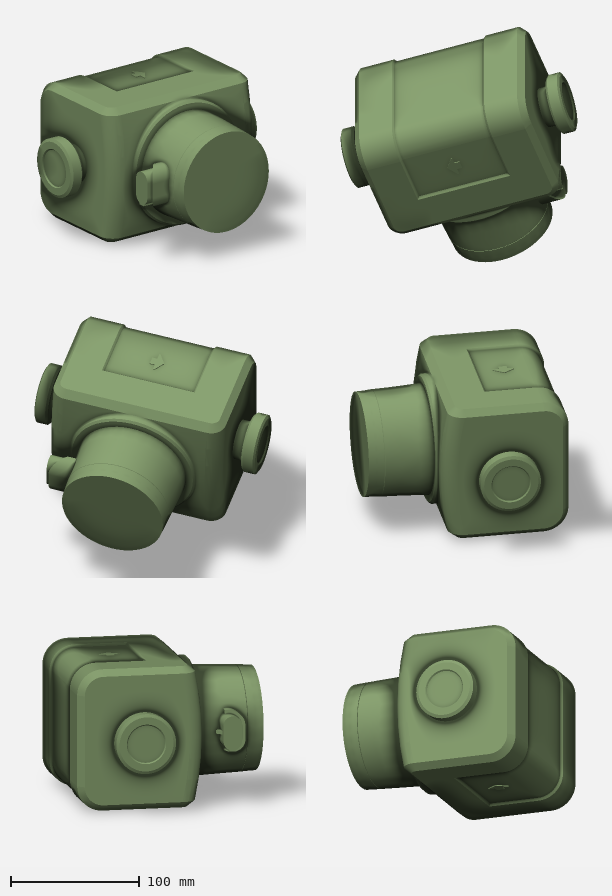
import cadquery as cq
import math


BLOCK_LEFT = -49.9
BLOCK_FRONT = 50.4
BLOCK_HALF_WIDTH = 70.0
BLOCK_HALF_HEIGHT = 56.0
FRONT_BULGE = 6.7
BACK_RADIUS = 20.0
FRONT_CORNER_RADIUS = 11.7
BLOCK_CHAMFER = 5.0

PANEL_DEPTH = 1.8
PANEL_HALF_WIDTH = 36.2
PANEL_END = 9.9

ARROW_X = -10.6
ARROW_TIP = 5.8
ARROW_SHOULDER = -0.9
ARROW_TAIL = -5.0
ARROW_HALF_WIDTH = 8.5
ARROW_STEM_HALF_WIDTH = 3.2
ARROW_EDGE = 0.9
ARROW_HEIGHT = 0.7

BOSS_RADIUS = 51.0
BOSS_FACE = 52.2
BOSS_CHAMFER = 1.6
BOSS_FILLET = 1.0
BOSS_ROOT = 27.0

PIPE_RADIUS = 15.7
PIPE_HALF_LENGTH = 90.0
FLANGE_RADIUS = 23.8
FLANGE_THICKNESS = 11.2
FLANGE_FRONT_BEVEL = 2.3
FLANGE_FRONT_BEVEL_DEPTH = 1.3
FLANGE_BACK_BEVEL = 1.8
NECK_FLARE = 5.0
DISH_RADIUS = 15.7
DISH_DEPTH = 1.0
DISH_SLOPE = 0.9

MOTOR_ROOT_RADIUS = 43.7
MOTOR_END_RADIUS = 42.0
MOTOR_END = 91.0
MOTOR_CHAMFER = 0.5
CAP_RADIUS = 42.0
CAP_END_RADIUS = 41.2
CAP_END = 103.5

PLUG_LEFT = 67.5
PLUG_RIGHT = 82.3
PLUG_HALF_HEIGHT = 13.5
PLUG_END = -60.7
PLUG_ROOT = -37.8
SHROUD_LEFT = 71.5
SHROUD_WALL = 3.0
SHROUD_SHORT_END = -46.8
SHROUD_LONG_END = -58.1
KEY_HALF_WIDTH = 2.9
LATCH_REACH = 4.0
LATCH_HALF_WIDTH = 1.5
LATCH_TOP = -50.4
LATCH_TIP = -51.3
LATCH_BOTTOM = -56.2


def x_revolve(points):
    """Solid of revolution about the X axis from (x, radius) points."""
    return cq.Workplane("XY").polyline(points).close().revolve(360, (0, 0), (1, 0))


def make_block():
    edge_x = BLOCK_FRONT - FRONT_BULGE
    top = BLOCK_HALF_HEIGHT
    block = (
        cq.Workplane("XZ")
        .moveTo(edge_x, -top)
        .threePointArc((BLOCK_FRONT, 0), (edge_x, top))
        .lineTo(BLOCK_LEFT, top)
        .lineTo(BLOCK_LEFT, -top)
        .close()
        .extrude(BLOCK_HALF_WIDTH, both=True)
    )
    block = block.edges("<X and |Y").fillet(BACK_RADIUS)
    block = block.faces("<Y or >Y").edges(">X").fillet(FRONT_CORNER_RADIUS)
    return block.faces("<Z or >Z").edges(">X").chamfer(BLOCK_CHAMFER)


def make_panel_cutter():
    """Band round the back of the block, less a core whose sides flare out to form sloped walls."""
    slope = PANEL_DEPTH
    reach = PANEL_END + slope
    half_width = PANEL_HALF_WIDTH + slope
    back = BLOCK_LEFT + PANEL_DEPTH
    floor = BLOCK_HALF_HEIGHT - PANEL_DEPTH
    core_length = 2 * (reach - back)

    def core_section(y):
        """Cross-section at y of the material that stays under the panel floor."""
        return (
            cq.Workplane("XZ", origin=(reach, y, 0))
            .sketch()
            .rect(core_length, 2 * floor)
            .vertices()
            .fillet(BACK_RADIUS - PANEL_DEPTH)
            .finalize()
        )

    band_length = reach - BLOCK_LEFT + slope
    cutter = (
        cq.Workplane("XY", origin=(reach - band_length / 2, 0, 0))
        .box(band_length, 2 * half_width, 2 * (BLOCK_HALF_HEIGHT + slope))
    )
    cutter = cutter.cut(core_section(0).extrude(half_width, both=True))
    end_wall = core_section(-PANEL_HALF_WIDTH).extrude(slope, taper=-45)
    cutter = cutter.cut(end_wall).cut(end_wall.mirror("XZ"))
    ramp = (
        cq.Workplane("XZ")
        .polyline([(PANEL_END, floor), (reach, BLOCK_HALF_HEIGHT), (reach, floor)])
        .close()
        .extrude(half_width, both=True)
    )
    return cutter.cut(ramp).cut(ramp.mirror("XY"))


def make_arrow():
    blunt = ARROW_SHOULDER + ARROW_EDGE
    return (
        cq.Workplane("XY", origin=(ARROW_X, 0, BLOCK_HALF_HEIGHT - PANEL_DEPTH))
        .polyline([
            (0, ARROW_TIP),
            (ARROW_HALF_WIDTH, blunt),
            (ARROW_HALF_WIDTH, ARROW_SHOULDER),
            (ARROW_STEM_HALF_WIDTH, ARROW_SHOULDER),
            (ARROW_STEM_HALF_WIDTH, ARROW_TAIL),
            (-ARROW_STEM_HALF_WIDTH, ARROW_TAIL),
            (-ARROW_STEM_HALF_WIDTH, ARROW_SHOULDER),
            (-ARROW_HALF_WIDTH, ARROW_SHOULDER),
            (-ARROW_HALF_WIDTH, blunt),
        ])
        .close()
        .extrude(ARROW_HEIGHT)
    )


def make_boss():
    return x_revolve([
        (BOSS_ROOT, 0),
        (BOSS_ROOT, BOSS_RADIUS),
        (BOSS_FACE - BOSS_CHAMFER, BOSS_RADIUS),
        (BOSS_FACE, BOSS_RADIUS - BOSS_CHAMFER),
        (BOSS_FACE, 0),
    ])


def make_bossed_block():
    """Block and boss joined with a fillet along the curve where the boss meets the bulged side."""
    boss_reach = BOSS_RADIUS + BOSS_FILLET
    shoulder = BOSS_FACE - BOSS_CHAMFER
    boss_foot = cq.selectors.BoxSelector(
        (BOSS_ROOT, -boss_reach, -boss_reach),
        ((BLOCK_FRONT + shoulder) / 2, boss_reach, boss_reach),
        boundingbox=True,
    )
    return make_block().union(make_boss()).edges(boss_foot).fillet(BOSS_FILLET)


def make_housing():
    pipe_hole = cq.Workplane("XZ").circle(PIPE_RADIUS).extrude(PIPE_HALF_LENGTH, both=True)
    arrow = make_arrow()
    return (
        make_bossed_block()
        .cut(make_panel_cutter())
        .union(arrow)
        .union(arrow.mirror("XY"))
        .cut(pipe_hole)
    )


def make_pipe():
    """Solid pipe with both flanges; one half is revolved about Y and mirrored."""
    end = PIPE_HALF_LENGTH
    flange_back = end - FLANGE_THICKNESS
    flare_start = flange_back - NECK_FLARE
    arc_offset = NECK_FLARE * (1 - math.sqrt(0.5))
    half = (
        cq.Workplane("XY")
        .lineTo(PIPE_RADIUS, 0)
        .lineTo(PIPE_RADIUS, flare_start)
        .threePointArc(
            (PIPE_RADIUS + arc_offset, flange_back - arc_offset),
            (PIPE_RADIUS + NECK_FLARE, flange_back),
        )
        .lineTo(FLANGE_RADIUS - FLANGE_BACK_BEVEL, flange_back)
        .lineTo(FLANGE_RADIUS, flange_back + FLANGE_BACK_BEVEL)
        .lineTo(FLANGE_RADIUS, end - FLANGE_FRONT_BEVEL_DEPTH)
        .lineTo(FLANGE_RADIUS - FLANGE_FRONT_BEVEL, end)
        .lineTo(DISH_RADIUS, end)
        .lineTo(DISH_RADIUS - DISH_SLOPE, end - DISH_DEPTH)
        .lineTo(0, end - DISH_DEPTH)
        .close()
        .revolve(360, (0, 0), (0, 1))
    )
    return half.union(half.mirror("XZ"))


def make_motor():
    return x_revolve([
        (BOSS_FACE, 0),
        (BOSS_FACE, MOTOR_ROOT_RADIUS),
        (MOTOR_END - MOTOR_CHAMFER, MOTOR_END_RADIUS),
        (MOTOR_END, MOTOR_END_RADIUS - MOTOR_CHAMFER),
        (MOTOR_END, 0),
    ])


def make_cap():
    return x_revolve([
        (MOTOR_END, 0),
        (MOTOR_END, CAP_RADIUS),
        (CAP_END, CAP_END_RADIUS),
        (CAP_END, 0),
    ])


def make_plug(motor):
    """Plug with a slanted half shroud and a latch, trimmed to the motor surface."""
    width = PLUG_RIGHT - PLUG_LEFT
    center_x = (PLUG_LEFT + PLUG_RIGHT) / 2
    plane = cq.Workplane("XZ", origin=(center_x, PLUG_ROOT, 0))
    length = PLUG_ROOT - PLUG_END
    shroud_right = PLUG_RIGHT + SHROUD_WALL
    shroud_half_height = PLUG_HALF_HEIGHT + SHROUD_WALL

    body = plane.slot2D(2 * PLUG_HALF_HEIGHT, width, 90).extrude(length)

    shroud = plane.slot2D(2 * shroud_half_height, width + 2 * SHROUD_WALL, 90).extrude(length)
    shroud_side = (
        cq.Workplane("XY")
        .polyline([
            (SHROUD_LEFT, PLUG_ROOT),
            (shroud_right, PLUG_ROOT),
            (shroud_right, SHROUD_LONG_END),
            (SHROUD_LEFT, SHROUD_SHORT_END),
        ])
        .close()
        .extrude(shroud_half_height, both=True)
    )

    key = (
        plane.center(0, -PLUG_HALF_HEIGHT)
        .rect(2 * KEY_HALF_WIDTH, SHROUD_WALL / 2)
        .extrude(length)
    )

    latch = (
        cq.Workplane("XY")
        .polyline([
            (center_x, LATCH_TOP),
            (PLUG_LEFT - LATCH_REACH + LATCH_TOP - LATCH_TIP, LATCH_TOP),
            (PLUG_LEFT - LATCH_REACH, LATCH_TIP),
            (PLUG_LEFT, LATCH_BOTTOM),
            (center_x, LATCH_BOTTOM),
        ])
        .close()
        .extrude(LATCH_HALF_WIDTH, both=True)
    )
    return body.union(shroud.intersect(shroud_side)).union(key).union(latch).cut(motor)


housing = make_housing()
pipe = make_pipe()
motor = make_motor()
cap = make_cap()
plug = make_plug(motor)

result = cq.Compound.makeCompound([
    housing.val(),
    pipe.val(),
    motor.val(),
    cap.val(),
    plug.val(),
])